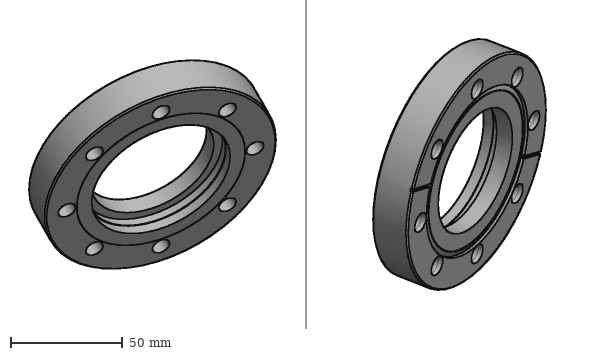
import cadquery as cq
import math


ring_diameter = 113.5
ring_length = 19.1
ring_edge_chamfer = 0.8

insert_diameter = 82.4
seat_diameter = 82.7
insert_rim_depth = 1.6
knife_diameter = 77.2
knife_slope = 20.0
knife_tip_width = 0.2
knife_height = 0.3

bore_diameter = 60.2
bore_length = 8.5
undercut_diameter = 68.6
socket_diameter = 67.8
socket_depth = 5.2

bolt_count = 8
bolt_circle_diameter = 92.2
bolt_hole_diameter = 8.4
bolt_mouth_diameter = 9.3
bolt_mouth_depth = 2.3

groove_width = 1.5
groove_depth = 1.2
groove_angle = 180.0 / bolt_count

front_x = -ring_length / 2
back_x = ring_length / 2


def revolve_about_x(profile):
    """Turn a list of (x, radius) points into a solid of revolution about the X axis."""
    return cq.Workplane("XY").polyline(profile).close().revolve(360, (0, 0, 0), (1, 0, 0))


def make_bolt_hole():
    """Cutter for one bolt hole, lying on the X axis."""
    mouth_radius = bolt_mouth_diameter / 2
    hole_radius = bolt_hole_diameter / 2
    mouth_end_x = front_x + bolt_mouth_depth
    return revolve_about_x(
        [
            (front_x, 0),
            (front_x, mouth_radius),
            (mouth_end_x, hole_radius),
            (back_x, hole_radius),
            (back_x, 0),
        ]
    )


def make_leak_groove():
    """Cutter for both leak-check grooves: one bar across the whole sealing face."""
    bar = cq.Workplane("XY").box(groove_depth, ring_diameter, groove_width)
    bar = bar.translate((front_x + groove_depth / 2, 0, 0))
    return bar.rotate((0, 0, 0), (1, 0, 0), groove_angle)


def make_ring():
    ring = cq.Workplane("YZ").workplane(offset=front_x).circle(ring_diameter / 2).extrude(ring_length)
    ring = ring.edges().chamfer(ring_edge_chamfer)
    seat = cq.Workplane("YZ").workplane(offset=front_x).circle(seat_diameter / 2).extrude(ring_length)
    ring = ring.cut(seat)
    bolt_hole = make_bolt_hole().translate((0, bolt_circle_diameter / 2, 0))
    for index in range(bolt_count):
        angle = index * 360.0 / bolt_count
        ring = ring.cut(bolt_hole.rotate((0, 0, 0), (1, 0, 0), angle))
    return ring.cut(make_leak_groove())


def make_insert():
    """The sealing insert, with a knife edge that slopes outward and drops straight inward."""
    outer_radius = insert_diameter / 2
    knife_radius = knife_diameter / 2
    bore_radius = bore_diameter / 2
    socket_radius = socket_diameter / 2
    rim_x = front_x + insert_rim_depth
    knife_x = rim_x - (outer_radius - knife_radius) * math.tan(math.radians(knife_slope))
    face_x = knife_x + knife_height
    socket_x = back_x - socket_depth
    undercut_radius = undercut_diameter / 2
    undercut_x = face_x + bore_length
    return revolve_about_x(
        [
            (rim_x, outer_radius),
            (knife_x, knife_radius),
            (knife_x, knife_radius - knife_tip_width),
            (face_x, knife_radius - knife_tip_width),
            (face_x, bore_radius),
            (undercut_x, bore_radius),
            (undercut_x, undercut_radius),
            (socket_x, undercut_radius),
            (socket_x, socket_radius),
            (back_x, socket_radius),
            (back_x, outer_radius),
        ]
    )


ring = make_ring()
insert = make_insert()

result = cq.Compound.makeCompound([ring.val(), insert.val()])